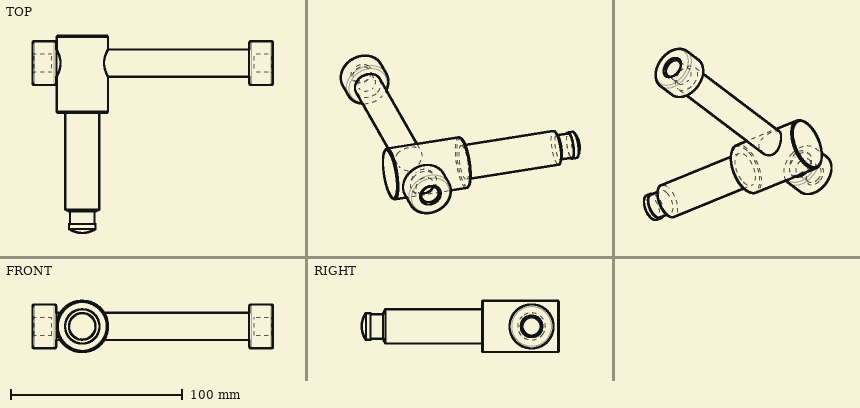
import cadquery as cq


head_diameter = 30.0
head_length = 45.0
head_back = 16.0
head_chamfer = 0.7
head_front = head_back - head_length

overall_depth = 115.0
shank_diameter = 20.0
shank_length = 57.5
shank_taper_length = 1.4
neck_diameter = 14.4
neck_length = 7.1
tip_diameter = 15.5
tip_rim_length = 2.8
tip_end = head_back - overall_depth
shank_end = head_front - shank_length
neck_end = shank_end - neck_length
rim_end = neck_end - tip_rim_length

overall_width = 140.0
handle_left = -29.0
handle_right = handle_left + overall_width
bar_diameter = 16.0
knob_diameter = 25.6
knob_length = 13.9
knob_edge = 1.3
socket_diameter = 10.6
socket_depth = 11.2
socket_chamfer = 1.0


def cylinder_x(diameter, start, length):
    return cq.Workplane("YZ").workplane(offset=start).circle(diameter / 2).extrude(length)


def make_head():
    head = cq.Workplane("XZ").workplane(offset=-head_back).circle(head_diameter / 2).extrude(head_length)
    return head.edges().chamfer(head_chamfer)


def make_spindle():
    """Revolve the half profile of the spindle, rooted at the handle axis, about Y."""
    shank_radius = shank_diameter / 2
    tip_radius = tip_diameter / 2
    dome_height = rim_end - tip_end
    dome_radius = (tip_radius**2 + dome_height**2) / (2 * dome_height)
    mid_x = tip_radius / 2
    mid_y = tip_end + dome_radius - (dome_radius**2 - mid_x**2) ** 0.5
    return (
        cq.Workplane("XY")
        .lineTo(shank_radius, 0)
        .lineTo(shank_radius, shank_end + shank_taper_length)
        .lineTo(neck_diameter / 2, shank_end)
        .lineTo(neck_diameter / 2, neck_end)
        .lineTo(tip_radius, neck_end)
        .lineTo(tip_radius, rim_end)
        .threePointArc((mid_x, mid_y), (0, tip_end))
        .close()
        .revolve(360, (0, 0), (0, 1))
    )


def make_knob(start):
    return cylinder_x(knob_diameter, start, knob_length).edges().fillet(knob_edge)


def make_socket(face, inward):
    """Blind, chamfered hole in a knob's outer face; inward is the X sign into the knob."""
    bore = cylinder_x(socket_diameter, face, inward * socket_depth)
    mouth_radius = socket_diameter / 2 + socket_chamfer
    mouth = cq.Solid.makeCone(
        mouth_radius,
        socket_diameter / 2,
        socket_chamfer,
        cq.Vector(face, 0, 0),
        cq.Vector(inward, 0, 0),
    )
    return bore.union(cq.Workplane(obj=mouth))


def make_handle():
    handle = cylinder_x(bar_diameter, handle_left + knob_length / 2, overall_width - knob_length)
    for start in (handle_left, handle_right - knob_length):
        handle = handle.union(make_knob(start))
    return handle


result = make_head().union(make_spindle()).union(make_handle())
result = result.cut(make_socket(handle_left, 1)).cut(make_socket(handle_right, -1))